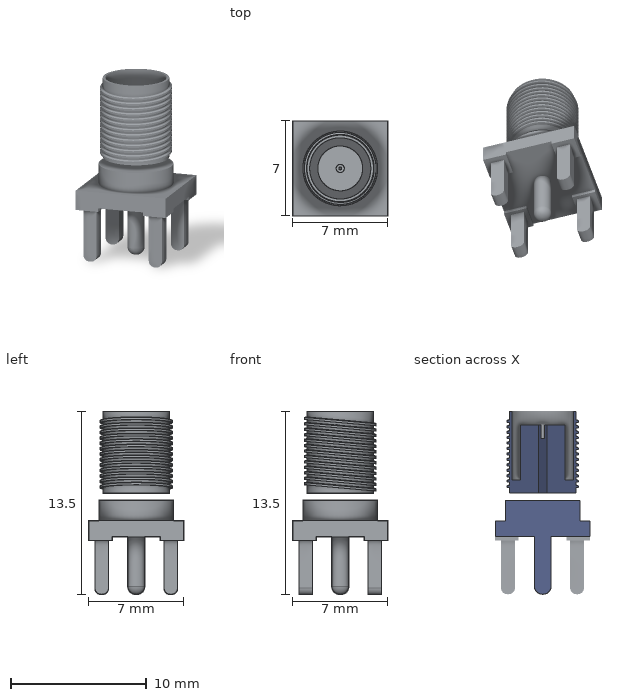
import cadquery as cq


plate_width = 7.0
plate_top = 1.47
recess_width = 3.5
recess_depth = 0.27
boss_diameter = 5.5
boss_top = 2.97

tip_z = -3.97
leg_pitch = 5.08
leg_width = 1.02
leg_tip_radius = 0.46
pin_diameter = 1.27
pin_tip_radius = 0.6

barrel_bottom = 3.47
barrel_height = 6.03
barrel_top = barrel_bottom + barrel_height
barrel_diameter = 4.9
bore_diameter = 4.5
bore_floor_thickness = 1.0

post_diameter = 3.3
post_setback = 0.97
post_top = barrel_top - post_setback

ring_count = 13
ring_pitch = 0.4
ring_diameter = 5.3
ring_thickness = 0.2
ring_bevel_width = 0.15
ring_bevel_height = 0.05
ring_tilt = 5.0
top_ring_z = 8.77

contact_diameter = 0.6
contact_hole_diameter = 0.2
contact_hole_depth = 1.0


def cylinder(diameter, bottom, top):
    """Solid cylinder about the Z axis between two heights."""
    return cq.Workplane("XY").workplane(offset=bottom).circle(diameter / 2).extrude(top - bottom)


def make_leg():
    """Square leg below the seating face, its tip rounded across Y."""
    leg = cq.Workplane("XY").rect(leg_width, leg_width).extrude(tip_z)
    return leg.faces("<Z").edges("|X").fillet(leg_tip_radius)


def make_base():
    """Plate with boss, cross-shaped relief between the pads, four legs and the centre pin."""
    base = cq.Workplane("XY").rect(plate_width, plate_width).extrude(plate_top)
    base = base.cut(cq.Workplane("XY").rect(plate_width, recess_width).extrude(recess_depth))
    base = base.cut(cq.Workplane("XY").rect(recess_width, plate_width).extrude(recess_depth))
    base = base.union(cylinder(boss_diameter, plate_top, boss_top))

    leg = make_leg()
    for side_x in (-1, 1):
        for side_y in (-1, 1):
            base = base.union(leg.translate((side_x * leg_pitch / 2, side_y * leg_pitch / 2, 0)))

    pin = cylinder(pin_diameter, tip_z, recess_depth).faces("<Z").edges().fillet(pin_tip_radius)
    return base.union(pin)


def make_thread_ring(center_z):
    """Disc with a shallow bevel on its upper edge, tilted about Y so its -X side is the higher one."""
    radius = ring_diameter / 2
    top = ring_thickness / 2
    profile = [
        (0, -top),
        (radius, -top),
        (radius, top - ring_bevel_height),
        (radius - ring_bevel_width, top),
        (0, top),
    ]
    ring = cq.Workplane("XZ").polyline(profile).close().revolve(360, (0, 0, 0), (0, 1, 0))
    return ring.rotate((0, 0, 0), (0, 1, 0), ring_tilt).translate((0, 0, center_z))


def make_barrel():
    """Ringed tube with a floor, carrying the post that holds the contact."""
    barrel = cylinder(barrel_diameter, barrel_bottom, barrel_top)
    for index in range(ring_count):
        barrel = barrel.union(make_thread_ring(top_ring_z - index * ring_pitch))

    bore_floor = barrel_bottom + bore_floor_thickness
    barrel = barrel.cut(cylinder(bore_diameter, bore_floor, barrel_top))
    barrel = barrel.union(cylinder(post_diameter, bore_floor, post_top))
    return barrel.cut(cylinder(contact_diameter, barrel_bottom, post_top))


def make_contact():
    """Thin rod filling the hole in the post, with a small blind hole in its top."""
    contact = cylinder(contact_diameter, barrel_bottom, post_top)
    return contact.cut(cylinder(contact_hole_diameter, post_top - contact_hole_depth, post_top))


base = make_base()
barrel = make_barrel()
contact = make_contact()

result = cq.Compound.makeCompound([base.val(), barrel.val(), contact.val()])